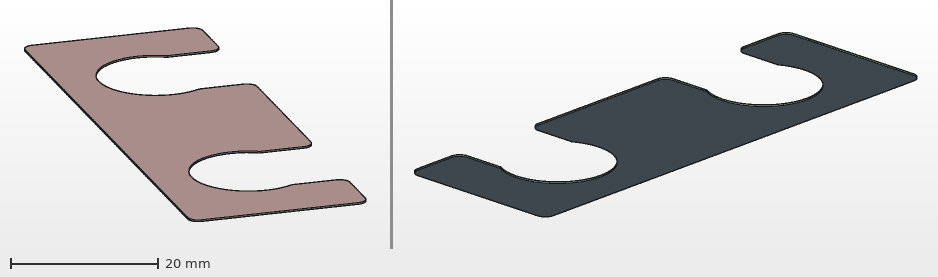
import cadquery as cq

length = 74.2
width = 25.4
thickness = 0.25
corner_radius = 1.5

notch_spacing = 40.65
bore_diameter = 16.2
bore_center_y = 1.0
slot_width = 14.1

plate = cq.Workplane("XY").box(length, width, thickness)


def notch(center_x):
    """Round bore joined to the +Y edge by a slightly narrower slot."""
    slot_length = width / 2 - bore_center_y
    bore = (
        cq.Workplane("XY")
        .center(center_x, bore_center_y)
        .circle(bore_diameter / 2)
        .extrude(thickness, both=True)
    )
    slot = (
        cq.Workplane("XY")
        .center(center_x, bore_center_y + slot_length / 2)
        .rect(slot_width, slot_length)
        .extrude(thickness, both=True)
    )
    return bore.union(slot)


for center_x in (-notch_spacing / 2, notch_spacing / 2):
    plate = plate.cut(notch(center_x))

long_edge_corners = plate.edges("|Z and (<Y or >Y)")
result = long_edge_corners.fillet(corner_radius)